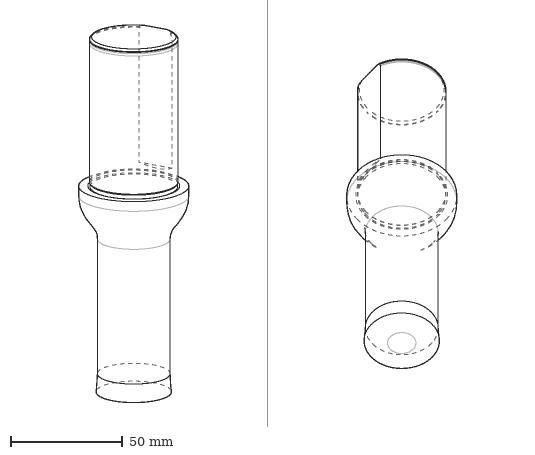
import cadquery as cq

total_height = 168.0
collar_top = 98.1
collar_rim_bottom = 93.5
neck_top = 73.2
tip_top = 10.0
tip_edge_height = 1.5

shank_radius = 40.0 / 2
groove_radius = 39.5 / 2
collar_radius = 49.5 / 2
neck_radius = 32.8 / 2
tip_radius = 17.0
tip_end_radius = 6.4

end_chamfer = 1.0
end_groove_top = 166.7
end_groove_bottom = 166.0
end_groove_taper_end = 165.0

relief_top = 99.6
relief_taper_height = 0.5
relief_outer_radius = 20.7
relief_depth = 0.3

flat_offset = 18.0
flat_bottom = 103.3

blend_middle_radius = 19.8
blend_middle_height = 81.1


def make_flat_cutter():
    """Block that cuts the shank flat, with its sloping lower end."""
    outer_y = relief_outer_radius
    slope_bottom = flat_bottom - (outer_y - flat_offset)
    return (
        cq.Workplane("YZ")
        .moveTo(flat_offset, total_height)
        .lineTo(flat_offset, flat_bottom)
        .lineTo(outer_y, slope_bottom)
        .lineTo(outer_y, total_height)
        .close()
        .extrude(collar_radius, both=True)
    )


def make_holder():
    """Shank, collar and neck, turned as one piece and flattened on one side."""
    axial_direction = (0, 1)
    turned = (
        cq.Workplane("XZ")
        .moveTo(0, tip_top)
        .lineTo(neck_radius, tip_top)
        .lineTo(neck_radius, neck_top)
        .spline(
            [(blend_middle_radius, blend_middle_height), (collar_radius, collar_rim_bottom)],
            tangents=[axial_direction, axial_direction],
            includeCurrent=True,
        )
        .lineTo(collar_radius, collar_top)
        .lineTo(relief_outer_radius, collar_top)
        .lineTo(groove_radius, collar_top - relief_depth)
        .lineTo(groove_radius, relief_top)
        .lineTo(shank_radius, relief_top + relief_taper_height)
        .lineTo(shank_radius, end_groove_taper_end)
        .lineTo(groove_radius, end_groove_bottom)
        .lineTo(groove_radius, end_groove_top)
        .lineTo(shank_radius, end_groove_top)
        .lineTo(shank_radius, total_height - end_chamfer)
        .lineTo(shank_radius - end_chamfer, total_height)
        .lineTo(0, total_height)
        .close()
        .revolve(360, (0, 0), (0, 1))
    )
    return turned.cut(make_flat_cutter())


def make_cutting_tip():
    """Slightly flared tip with a shallow tapered end."""
    return (
        cq.Workplane("XZ")
        .moveTo(0, 0)
        .lineTo(tip_end_radius, 0)
        .lineTo(tip_radius, tip_edge_height)
        .lineTo(neck_radius, tip_top)
        .lineTo(0, tip_top)
        .close()
        .revolve(360, (0, 0), (0, 1))
    )


holder = make_holder()
cutting_tip = make_cutting_tip()

result = cq.Compound.makeCompound([holder.val(), cutting_tip.val()])